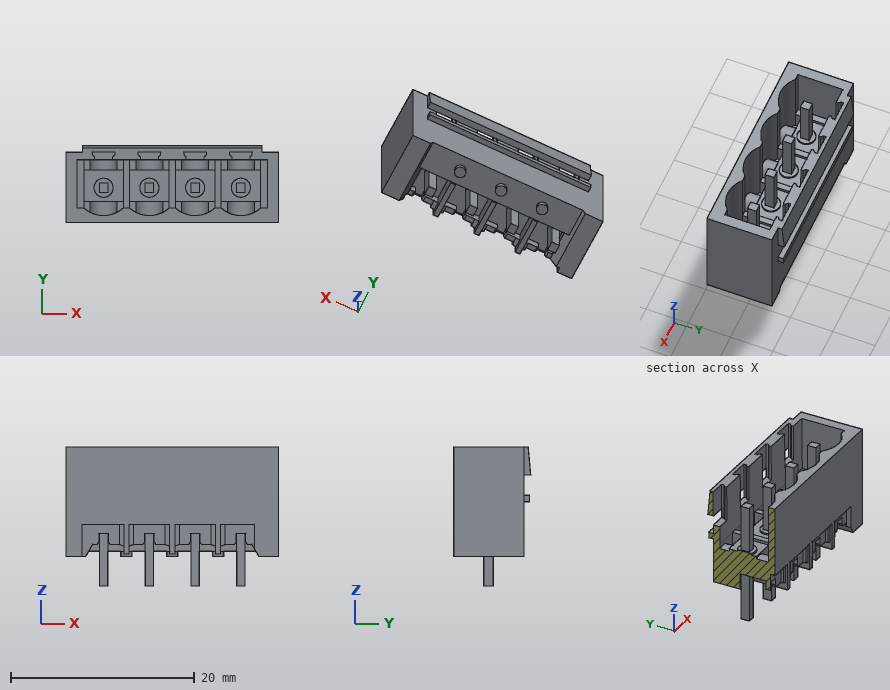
import cadquery as cq


length = 23.2
depth = 7.68
height = 11.97
mid_x = length / 2

pole_count = 4
pole_span = 14.99
pitch = pole_span / (pole_count - 1)
pole_y = 3.8
pole_xs = [mid_x - pole_span / 2 + i * pitch for i in range(pole_count)]
between_xs = [x + pitch / 2 for x in pole_xs[:-1]]

pin_width = 0.93
pin_depth = 1.05
pin_drop = 3.22
pin_top = 11.02

lip_length = 19.63
lip_height = 3.09
lip_top_reach = 0.46
lip_reach = 0.75
rib_drop = 5.27
rib_height = 0.75
rib_reach = 0.6

cavity_length = 20.76
cavity_front = 1.6
cavity_back = 6.91
back_wall_draft = 0.07
ledge_z = 5.65
cell_floor_z = 3.71
cell_width = 4.32
scallop_front = 0.77

seat_front = 2.3
seat_back = 5.73
seat_z = 5.34
hump_radius = 1.45
boss_radius = 1.05
boss_height = 0.19

slot_sill_z = 7.8
slot_wide = 2.45
slot_neck = 1.95
slot_straight = 0.28
slot_taper_end = 0.53

foot_inset = 2.15
slope_inset = 2.9
web_bottom_z = 1.32
block_bottom_z = 0.55
block_front = pole_y + pin_depth / 2
recess_left = 1.76
recess_right = 2.65
recess_depth = 0.55
recess_top_z = 3.5
web_thickness = 0.6
hollow_front = recess_depth + web_thickness
notch_width = 1.02
notch_top_z = 2.5
notch_straight_z = 1.65
notch_flare = 0.19

partition_width = 0.58
partition_bottom_z = 0.28
strip_half_width = 0.77
strip_setback = 0.23
strip_sag = 0.19
post_radius = 0.63
post_y = (block_front + depth) / 2


def block(x0, x1, y0, y1, z0, z1):
    """Box between two opposite corners."""
    return cq.Workplane("XY").box(x1 - x0, y1 - y0, z1 - z0, centered=False).translate((x0, y0, z0))


def along_y(points, y0, y1):
    """Closed XZ outline carried from y0 back to y1."""
    return cq.Workplane("XZ", origin=(0, y0, 0)).polyline(points).close().extrude(y0 - y1)


def along_x(points, x0, x1):
    """Closed YZ outline carried from x0 to x1."""
    return cq.Workplane("YZ", origin=(x0, 0, 0)).polyline(points).close().extrude(x1 - x0)


def rear_lip():
    profile = [
        (depth, height),
        (depth + lip_top_reach, height),
        (depth + lip_reach, height - lip_height),
        (depth, height - lip_height),
    ]
    return along_x(profile, mid_x - lip_length / 2, mid_x + lip_length / 2)


def rear_rib():
    top = height - rib_drop
    left = mid_x - lip_length / 2
    return block(left, left + lip_length, depth, depth + rib_reach, top - rib_height, top)


def cavity():
    """Mating opening down to the ledges; its rear wall leans slightly inward toward the floor."""
    profile = [
        (cavity_front, ledge_z),
        (cavity_front, height),
        (cavity_back, height),
        (cavity_back - back_wall_draft, ledge_z),
    ]
    return along_x(profile, mid_x - cavity_length / 2, mid_x + cavity_length / 2)


def cell(x):
    """Well of one pole, with a scalloped front."""
    half = cell_width / 2
    return (
        cq.Workplane("XY", origin=(x, 0, cell_floor_z))
        .moveTo(-half, cavity_back - back_wall_draft)
        .lineTo(-half, cavity_front)
        .threePointArc((0, scallop_front), (half, cavity_front))
        .lineTo(half, cavity_back - back_wall_draft)
        .close()
        .extrude(height - cell_floor_z)
    )


def seat(x):
    """Block that carries the pin, with a round boss about the pin."""
    half = cell_width / 2
    body = block(x - half, x + half, seat_front, seat_back, cell_floor_z, seat_z)
    boss = cq.Workplane("XY", origin=(x, pole_y, seat_z)).circle(boss_radius).extrude(boss_height)
    return body.union(boss)


def hump(x):
    """Half-round rise along the floor of one cell, from the scallop to the rear wall."""
    bar = cq.Workplane("XZ", origin=(x, scallop_front, cell_floor_z)).circle(hump_radius)
    bar = bar.extrude(scallop_front - cavity_back)
    return bar.intersect(cell(x))


def dovetail_slot(x):
    """Slot from the rear face into the cavity, wider at the rear."""
    wide = slot_wide / 2
    neck = slot_neck / 2
    straight_y = depth - slot_straight
    taper_y = depth - slot_taper_end
    front_y = cavity_back - 2 * back_wall_draft
    outline = [
        (-wide, depth),
        (-wide, straight_y),
        (-neck, taper_y),
        (-neck, front_y),
        (neck, front_y),
        (neck, taper_y),
        (wide, straight_y),
        (wide, depth),
    ]
    plane = cq.Workplane("XY", origin=(x, 0, slot_sill_z))
    return plane.polyline(outline).close().extrude(height - slot_sill_z)


def foot_gap(top_z, y0, y1):
    """Gap between the sloping inner sides of the two end feet."""
    inset = foot_inset + (slope_inset - foot_inset) * top_z / web_bottom_z
    outline = [(foot_inset, 0), (length - foot_inset, 0), (length - inset, top_z), (inset, top_z)]
    return along_y(outline, y0, y1)


def pin_notch(x):
    """Notch through the front web, flared at its lower end."""
    half = notch_width / 2
    wide = half + notch_flare
    outline = [
        (x - wide, web_bottom_z),
        (x - half, notch_straight_z),
        (x - half, notch_top_z),
        (x + half, notch_top_z),
        (x + half, notch_straight_z),
        (x + wide, web_bottom_z),
    ]
    return along_y(outline, recess_depth, hollow_front)


def partition(x):
    """Rib between two poles, flush with the front face."""
    half = partition_width / 2
    return block(x - half, x + half, 0, block_front, partition_bottom_z, recess_top_z)


def partition_strips(x):
    """Strips beside a partition, proud of the web, whose lower ends bow down toward the partition."""
    half = strip_half_width
    return (
        cq.Workplane("XZ", origin=(x, strip_setback, 0))
        .moveTo(-half, recess_top_z)
        .lineTo(-half, web_bottom_z)
        .threePointArc((0, web_bottom_z - strip_sag), (half, web_bottom_z))
        .lineTo(half, recess_top_z)
        .close()
        .extrude(strip_setback - hollow_front)
    )


def standoff_post(x):
    return cq.Workplane("XY", origin=(x, post_y, 0)).circle(post_radius).extrude(block_bottom_z)


def pin(x):
    bar = cq.Workplane("XY", origin=(x, pole_y, -pin_drop)).rect(pin_width, pin_depth)
    return bar.extrude(pin_drop + pin_top)


def make_housing(pins):
    body = block(0, length, 0, depth, 0, height)
    body = body.union(rear_lip()).union(rear_rib())

    body = body.cut(cavity())
    for x in pole_xs:
        body = body.cut(cell(x)).union(hump(x)).union(seat(x)).cut(dovetail_slot(x))

    body = body.cut(block(recess_left, length - recess_right, 0, recess_depth, 0, recess_top_z))
    body = body.cut(foot_gap(web_bottom_z, 0, block_front))
    body = body.cut(foot_gap(block_bottom_z, block_front, depth))
    hollow_left = slope_inset
    hollow_right = length - slope_inset
    hollow = block(hollow_left, hollow_right, hollow_front, block_front, web_bottom_z, notch_top_z)
    body = body.cut(hollow)
    for x in pole_xs:
        body = body.cut(pin_notch(x))
    for x in between_xs:
        body = body.union(partition_strips(x)).union(partition(x)).union(standoff_post(x))

    for solid in pins:
        body = body.cut(solid)
    return body


pins = [pin(x) for x in pole_xs]
housing = make_housing(pins)

result = cq.Compound.makeCompound([housing.val(), *[p.val() for p in pins]])